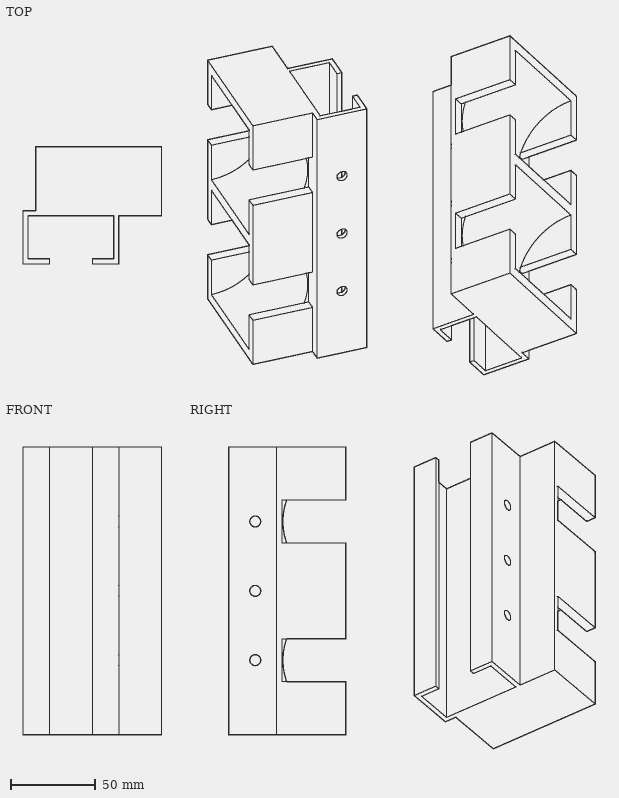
import cadquery as cq

overall_width = 82.55
height = 171.45

channel_width = 57.15
channel_depth = 31.75
sheet = 3.175
lip_gap = 25.4
hole_diameter = 6.35

block_offset = 7.62
block_depth = 38.1
end_wall = 6.35
slot_width = 25.4
pocket_spacing = 82.55

block_width = overall_width - block_offset
pocket_radius = block_width / 2
web_front = channel_depth - sheet
back_face = channel_depth + block_depth
mid_height = height / 2
pocket_heights = [mid_height - pocket_spacing / 2, mid_height + pocket_spacing / 2]
hole_heights = [pocket_heights[0], mid_height, pocket_heights[1]]


def box(x, y, z, dx, dy, dz):
    """Box with its lowest corner at (x, y, z)."""
    return cq.Workplane("XY").box(dx, dy, dz, centered=False).translate((x, y, z))


def cylinder_along_x(x, y, z, radius, length):
    """Cylinder that starts at (x, y, z) and runs toward +X."""
    return cq.Workplane("YZ", origin=(x, y, z)).circle(radius).extrude(length)


def make_channel():
    """Channel with two inward lips and a row of cross holes."""
    channel = box(0, 0, 0, channel_width, channel_depth, height)
    channel = channel.cut(box(sheet, sheet, 0, channel_width - 2 * sheet, web_front - sheet, height))
    gap_start = (channel_width - lip_gap) / 2
    channel = channel.cut(box(gap_start, 0, 0, lip_gap, sheet, height))
    for z in hole_heights:
        channel = channel.cut(cylinder_along_x(0, channel_depth / 2, z, hole_diameter / 2, channel_width))
    return channel


def make_block():
    """Block with half-round pockets open at the back and slotted end walls."""
    block = box(block_offset, web_front, 0, block_width, back_face - web_front, height)
    pocket_length = block_width - 2 * end_wall
    far_wall = overall_width - end_wall
    for z in pocket_heights:
        block = block.cut(
            cylinder_along_x(block_offset + end_wall, back_face, z, pocket_radius, pocket_length)
        )
        for wall_start in (block_offset, far_wall):
            slot = box(wall_start, channel_depth, z - slot_width / 2, end_wall, block_depth, slot_width)
            block = block.cut(slot)
    return block


result = make_channel().union(make_block())